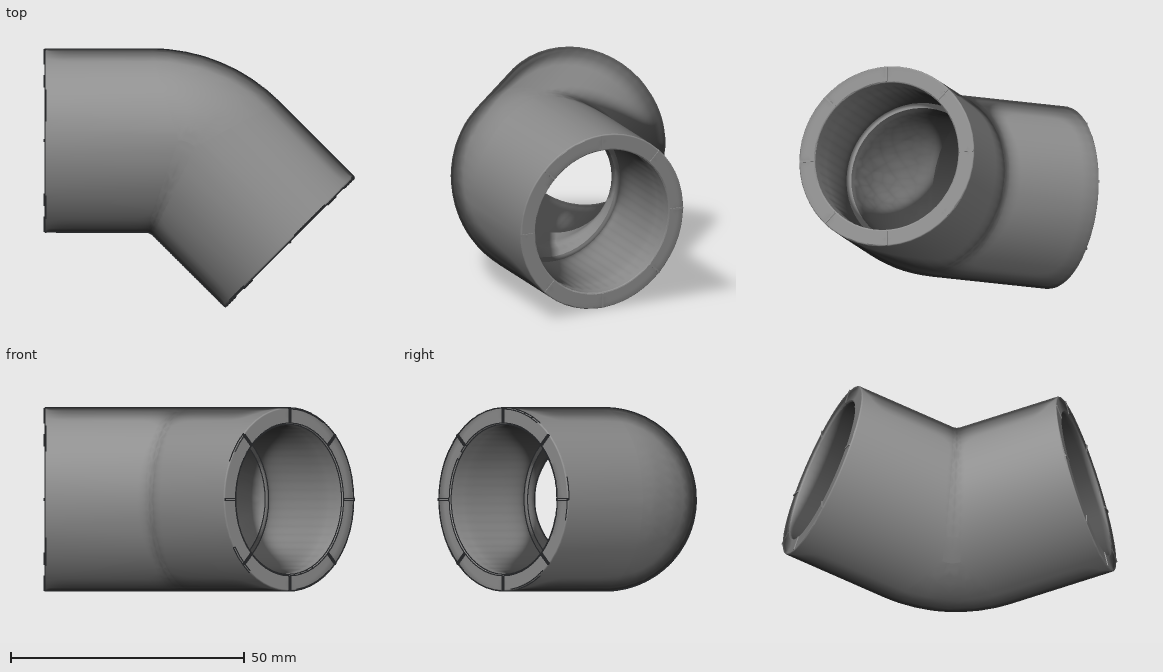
import cadquery as cq
import math

BEND_ANGLE = 45.0
OUTER_RADIUS = 39.4 / 2
PASSAGE_RADIUS = 30.0 / 2
SOCKET_RADIUS = 32.2 / 2
SOCKET_DEPTH = 22.4
LEG_LENGTH = 30.75
EDGE_ROUND = 0.3

CROWN_RADIUS = 39.0
MID_RADIUS = 5.0
THROAT_RADIUS = 2.0
PASSAGE_CROWN_RADIUS = 33.2

RIB_COUNT = 8
RIB_WIDTH = 0.4
RIB_HEIGHT = 0.2
RIB_INNER_RADIUS = SOCKET_RADIUS + EDGE_ROUND
RIB_OUTER_RADIUS = OUTER_RADIUS - EDGE_ROUND / 2

BEND_SECTIONS = 5
ROD_OVERLAP = 1.5
HALF_TANGENT = math.tan(math.radians(BEND_ANGLE / 2))


def bend_point(offset, radius, angle):
    """Point on the bend arc that rounds the corner of a line lying `offset` from the leg axes."""
    center = cq.Vector((offset - radius) * HALF_TANGENT, offset - radius, 0)
    turn = math.radians(angle)
    return center + cq.Vector(math.sin(turn), math.cos(turn), 0) * radius


def half_bend(tube_radius, rim_offset, rim_radius):
    """Half of the bend, lofted through half ellipses reaching from the axis to the rim arc."""
    sections = []
    for index in range(BEND_SECTIONS):
        angle = BEND_ANGLE * index / (BEND_SECTIONS - 1)
        middle = bend_point(0, MID_RADIUS, angle)
        reach = bend_point(rim_offset, rim_radius, angle) - middle
        rise = cq.Vector(0, 0, tube_radius)
        normal = reach.cross(rise)
        arc = cq.Edge.makeEllipse(reach.Length, tube_radius, middle, normal, reach, -90, 90)
        chord = cq.Edge.makeLine(middle + rise, middle - rise)
        sections.append(cq.Wire.assembleEdges([arc, chord]))
    return cq.Workplane(cq.Solid.makeLoft(sections))


def mirrored_leg(leg):
    """Copy of the first leg on the far side of the plane that bisects the bend."""
    half = math.radians(BEND_ANGLE / 2)
    across = cq.Vector(math.cos(half), -math.sin(half), 0)
    return leg.mirror(across, (0, 0, 0))


def leg_rod(radius, crown_radius, length):
    """Straight rod along X, cut at the lines where the bend takes over."""
    crown = bend_point(radius, crown_radius, 0)
    middle = bend_point(0, MID_RADIUS, 0)
    throat = bend_point(-radius, THROAT_RADIUS, 0)
    past_crown = middle + (crown - middle) * ROD_OVERLAP
    past_throat = middle + (throat - middle) * ROD_OVERLAP
    outline = [
        (-length, past_crown.y),
        (past_crown.x, past_crown.y),
        (middle.x, middle.y),
        (past_throat.x, past_throat.y),
        (-length, past_throat.y),
    ]
    keep = cq.Workplane("XY").polyline(outline).close().extrude(ROD_OVERLAP * radius, both=True)
    rod = cq.Workplane("YZ").workplane(offset=-length).circle(radius).extrude(2 * length)
    return rod.intersect(keep)


def elbow_rod(radius, crown_radius, leg):
    """Solid elbow: the given leg, its mirror image and the bend between them."""
    bend = half_bend(radius, radius, crown_radius).union(half_bend(radius, -radius, THROAT_RADIUS))
    return bend.union(leg).union(mirrored_leg(leg))


def outer_body():
    leg = leg_rod(OUTER_RADIUS, CROWN_RADIUS, LEG_LENGTH)
    leg = leg.faces("<X").edges().fillet(EDGE_ROUND)
    return elbow_rod(OUTER_RADIUS, CROWN_RADIUS, leg)


def passage():
    leg = leg_rod(PASSAGE_RADIUS, PASSAGE_CROWN_RADIUS, LEG_LENGTH)
    return elbow_rod(PASSAGE_RADIUS, PASSAGE_CROWN_RADIUS, leg)


def socket():
    """Void of the socket in the first leg, flaring at its mouth to round the rim."""
    mouth = -LEG_LENGTH
    seat = mouth + SOCKET_DEPTH
    flare_middle = EDGE_ROUND * (1 - math.sqrt(0.5))
    return (
        cq.Workplane("XY")
        .moveTo(mouth, 0)
        .lineTo(mouth, SOCKET_RADIUS + EDGE_ROUND)
        .threePointArc(
            (mouth + flare_middle, SOCKET_RADIUS + flare_middle),
            (mouth + EDGE_ROUND, SOCKET_RADIUS),
        )
        .lineTo(seat, SOCKET_RADIUS)
        .lineTo(seat, 0)
        .close()
        .revolve(360, (0, 0, 0), (1, 0, 0))
    )


def end_ribs():
    """Radial ribs on the first end face, sunk into the wall by their own height."""
    length = RIB_OUTER_RADIUS - RIB_INNER_RADIUS
    middle_radius = (RIB_OUTER_RADIUS + RIB_INNER_RADIUS) / 2
    return (
        cq.Workplane("YZ")
        .workplane(offset=-LEG_LENGTH - RIB_HEIGHT)
        .polarArray(middle_radius, 0, 360, RIB_COUNT)
        .rect(length, RIB_WIDTH)
        .extrude(2 * RIB_HEIGHT)
    )


first_socket = socket()
first_ribs = end_ribs()
result = (
    outer_body()
    .cut(passage())
    .cut(first_socket)
    .cut(mirrored_leg(first_socket))
    .union(first_ribs)
    .union(mirrored_leg(first_ribs))
)